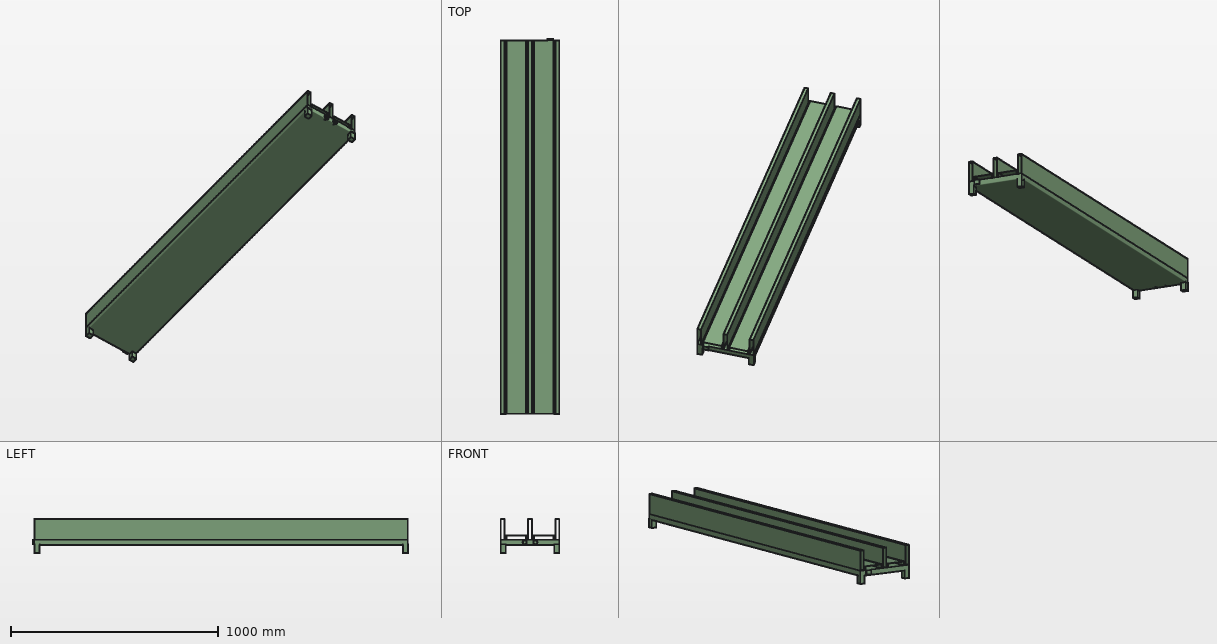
import cadquery as cq


overall_width = 284.0
overall_length = 1807.0
overall_height = 165.0
skin = 2.0

front_y = -overall_length / 2
back_y = overall_length / 2
leg_overhang = 2.0
connector_projection = 7.0
deck_front_y = front_y + leg_overhang
deck_back_y = back_y - connector_projection
deck_length = deck_back_y - deck_front_y

leg_height = 38.0
leg_size = 25.0
deck_thickness = 27.0
deck_edge_radius = 4.0
deck_top_z = leg_height + deck_thickness
deck_mid_z = leg_height + deck_thickness / 2

wall_cavity_width = 17.2
wall_edge_radius = 4.5
wall_width = wall_cavity_width + 2 * skin
wall_height = overall_height - deck_top_z
side_wall_x = (overall_width - wall_width) / 2

socket_x = 25.0
socket_mouth_radius = 10.0
socket_mouth_depth = 5.0
socket_bore_radius = 9.0
socket_depth = 15.0

connector_x = 98.0
connector_width = 27.0
connector_height = 22.0

panel_gap = 4.0
panel_height = 20.0
panel_flange = 5.0
panel_edge_radius = 4.0
lane_width = side_wall_x - wall_width
lane_center_x = side_wall_x / 2
panel_width = lane_width - 2 * panel_gap


def lengthwise_bar(center_x, width, bottom_z, height):
    """Rectangular bar running the full length of the deck."""
    bar = cq.Workplane("XY").box(width, deck_length, height, centered=(True, False, False))
    return bar.translate((center_x, deck_front_y, bottom_z))


def make_deck():
    deck = lengthwise_bar(0, overall_width, leg_height, deck_thickness)
    return deck.faces("<Z").edges().fillet(deck_edge_radius)


def make_wall(center_x):
    """Tubular wall with rounded top edges, open at both ends and standing on the deck."""
    outside = lengthwise_bar(center_x, wall_width, deck_top_z, wall_height)
    outside = outside.edges("|Y and >Z").fillet(wall_edge_radius)
    cavity = lengthwise_bar(center_x, wall_cavity_width, deck_top_z, wall_height - skin)
    return outside.cut(cavity)


def make_leg(side, start_y):
    """Square leg flush with the deck side, reaching up through the rounded deck edge."""
    leg = cq.Workplane("XY").box(
        leg_size, leg_size, leg_height + deck_edge_radius, centered=(True, False, False)
    )
    return leg.translate((side * (overall_width - leg_size) / 2, start_y, 0))


def make_connector():
    block = cq.Workplane("XY").box(
        connector_width, connector_projection, connector_height, centered=(True, False, False)
    )
    return block.translate((connector_x, deck_back_y, deck_top_z - connector_height))


def make_socket(center_x):
    """Cutter for a stepped blind hole going in from the front end of the deck."""
    front_plane = cq.Workplane("XZ", origin=(center_x, deck_front_y, deck_mid_z))
    mouth = front_plane.circle(socket_mouth_radius).extrude(-socket_mouth_depth)
    bore = front_plane.circle(socket_bore_radius).extrude(-socket_depth)
    return mouth.union(bore)


def make_frame():
    frame = make_deck()
    for center_x in (-side_wall_x, 0, side_wall_x):
        frame = frame.union(make_wall(center_x))
    for side in (-1, 1):
        for start_y in (front_y, deck_back_y - leg_size):
            frame = frame.union(make_leg(side, start_y))
        frame = frame.cut(make_socket(side * socket_x))
    return frame.union(make_connector())


def make_floor_panel(center_x):
    """Inverted channel with rounded top edges, resting on the deck."""
    outside = lengthwise_bar(center_x, panel_width, deck_top_z, panel_height)
    outside = outside.edges("|Y and >Z").fillet(panel_edge_radius)
    inner_width = panel_width - 2 * panel_flange
    cavity = lengthwise_bar(center_x, inner_width, deck_top_z, panel_height - skin)
    return outside.cut(cavity)


frame = make_frame()
floor_panels = [make_floor_panel(side * lane_center_x) for side in (-1, 1)]

result = cq.Compound.makeCompound([frame.val(), *[panel.val() for panel in floor_panels]])